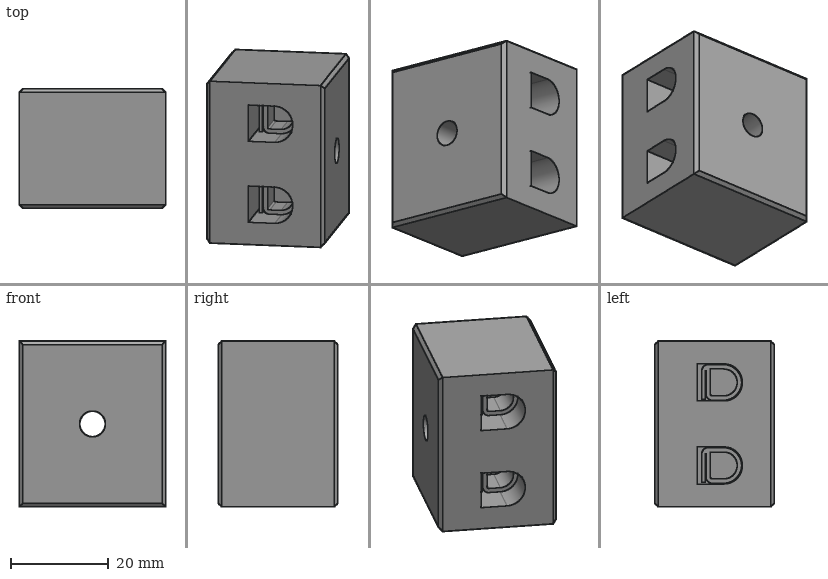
import cadquery as cq

LENGTH = 30.0
WIDTH = 24.5
HEIGHT = 34.0
EDGE_CHAMFER = 0.75

MOUNTING_HOLE_DIAMETER = 5.2

POCKET_PITCH = 17.0
POCKET_HEIGHT = 7.6
POCKET_BACK_Y = 3.5
POCKET_ROUND_Y = -1.9
POCKET_DEPTH = LENGTH / 2

CLAMP_RECESS = 7.5
CLAMP_CLEARANCE = 0.15
STRIP = 0.9
BACK_LEAF = 0.7
LEAF_GAP = 0.17
LEAF_END_CLEARANCE = 0.4
CLAMP_BACK_Y = 2.6
BACK_LEAF_RADIUS = 1.3
BEND_INNER_RADIUS = 0.35

pocket_radius = POCKET_HEIGHT / 2
clamp_radius = pocket_radius - CLAMP_CLEARANCE
bend_outer_radius = BEND_INNER_RADIUS + STRIP
opening_radius = clamp_radius - STRIP
gap_back_y = CLAMP_BACK_Y - BACK_LEAF
strip_back_y = gap_back_y - LEAF_GAP
opening_back_y = strip_back_y - STRIP
leaf_bottom = -pocket_radius + LEAF_END_CLEARANCE
gap_top = clamp_radius - BACK_LEAF_RADIUS

block_left_x = -LENGTH / 2
pocket_floor_x = block_left_x + POCKET_DEPTH
clamp_height = POCKET_DEPTH - CLAMP_RECESS


def make_block():
    block = cq.Workplane("XY").box(LENGTH, WIDTH, HEIGHT)
    return block.faces("<Y or >Y").edges().chamfer(EDGE_CHAMFER)


def make_mounting_hole():
    hole = cq.Workplane("XZ").circle(MOUNTING_HOLE_DIAMETER / 2)
    return hole.extrude(WIDTH / 2, both=True)


def d_prism(start_x, length, radius, back_y):
    """Prism along +X: flat on the +Y side, a half circle on the -Y side."""
    profile = (
        cq.Workplane("YZ", origin=(start_x, 0, 0))
        .moveTo(back_y, -radius)
        .lineTo(back_y, radius)
        .lineTo(POCKET_ROUND_Y, radius)
        .threePointArc((POCKET_ROUND_Y - radius, 0), (POCKET_ROUND_Y, -radius))
        .close()
    )
    return profile.extrude(length)


def prism_between(back_y, front_y, bottom_z, top_z):
    """Rectangular prism with the length of the clamp, from its face to the pocket floor."""
    return cq.Workplane("XY").box(
        clamp_height, back_y - front_y, top_z - bottom_z, centered=False
    ).translate((pocket_floor_x - clamp_height, front_y, bottom_z))


def make_clamp():
    """Strip wrapped around the wire opening, its upper end folded down behind it."""
    clamp_x = pocket_floor_x - clamp_height
    loop = d_prism(clamp_x, clamp_height, clamp_radius, strip_back_y)
    loop = loop.edges("|X and >Y and <Z").fillet(bend_outer_radius)
    opening = d_prism(clamp_x, clamp_height, opening_radius, opening_back_y)
    opening = opening.edges("|X and >Y and <Z").fillet(BEND_INNER_RADIUS)

    fold = prism_between(CLAMP_BACK_Y, strip_back_y, leaf_bottom, clamp_radius)
    gap = prism_between(gap_back_y, strip_back_y, leaf_bottom, gap_top)

    envelope = d_prism(clamp_x, clamp_height, clamp_radius, CLAMP_BACK_Y)
    envelope = envelope.edges("|X and >Y and >Z").fillet(BACK_LEAF_RADIUS)

    return loop.union(fold.cut(gap)).intersect(envelope).cut(opening)


def make_wire_cavity():
    """Space removed at one pocket: the D pocket less its clamp."""
    pocket = d_prism(block_left_x, POCKET_DEPTH, pocket_radius, POCKET_BACK_Y)
    return pocket.cut(make_clamp())


result = make_block().cut(make_mounting_hole())
wire_cavity = make_wire_cavity()
for pocket_z in (-POCKET_PITCH / 2, POCKET_PITCH / 2):
    result = result.cut(wire_cavity.translate((0, 0, pocket_z)))